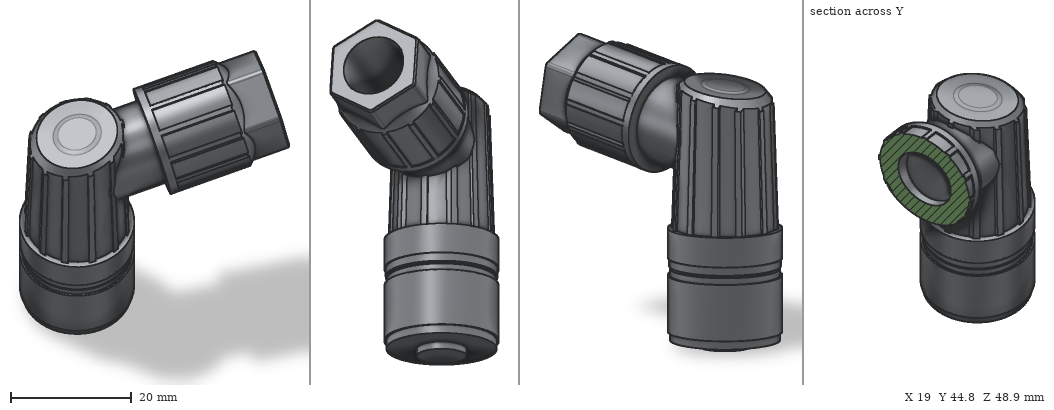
import cadquery as cq
import math

main_diameter = 19.0
ring_step_diameter = 18.3
collar_step_diameter = 18.55
neck_diameter = 16.5
insert_diameter = 8.2

insert_bottom = 0.0
ring_bottom = 1.2
ring_lower_step_top = 2.65
ring_shoulder = 12.1
ring_top = 13.2
collar_bottom = 13.7
collar_step_top = 15.05
collar_top = 20.05

grip_draft = 2.0
grip_rib_radius = 8.85
grip_panel_radius = 8.45
grip_rib_half_width = 0.55
grip_quadrant_angles = (0, 30, 56.5)
grip_loft_top = 46.92

tilt_angle = 10.0
cap_height = 43.85
cap_flat_radius = 6.8
cap_cone_depth = 29.35
button_base_radius = 4.05
button_top_radius = 3.25
button_rise = 0.2

branch_height = 34.55
tube_radius = 7.2
gland_start = 13.2
gland_collar_end = 14.65
gland_shoulder = 27.2
gland_end = 34.4
gland_radius = 9.25
gland_panel_radius = 9.0
gland_rib_half_width = 0.45
gland_quadrant_angles = (0, 30, 60)
gland_chamfer = 2.05
hex_across_flats = 15.0
hex_corner_fillet = 0.9
hex_end_chamfer = 0.3
cable_bore_diameter = 10.45

tilt_sin = math.sin(math.radians(tilt_angle))
tilt_cos = math.cos(math.radians(tilt_angle))

cap_normal = cq.Vector(0, -tilt_sin, tilt_cos)
branch_axis = cq.Vector(0, tilt_cos, tilt_sin)
cap_center = cq.Vector(0, 0, cap_height)


def cylinder_between(diameter, bottom, top):
    """Upright cylinder between two heights."""
    return cq.Workplane("XY").workplane(offset=bottom).circle(diameter / 2).extrude(top - bottom)


def branch_workplane(distance):
    """Workplane square to the branch axis, with its local X pointing up."""
    origin = cq.Vector(0, 0, branch_height) + branch_axis * distance
    return cq.Workplane(cq.Plane(origin=origin, xDir=cap_normal, normal=branch_axis))


def polar(radius, angle):
    return radius * math.cos(math.radians(angle)), radius * math.sin(math.radians(angle))


def full_turn(quadrant_angles):
    """Rib angles around the circle, mirrored about both axes, with a rib on each axis."""
    half_turn = [*quadrant_angles, 90, *(180 - angle for angle in reversed(quadrant_angles[1:]))]
    return half_turn + [angle + 180 for angle in half_turn]


def flank_foot(rib_corner, panel_radius, flank_along_y):
    """Point on the panel circle straight below a rib corner."""
    x, y = rib_corner
    if flank_along_y:
        return x, math.copysign(math.sqrt(panel_radius**2 - x**2), y)
    return math.copysign(math.sqrt(panel_radius**2 - y**2), x), y


def ribbed_outline(workplane, quadrant_angles, rib_radius, panel_radius, rib_half_width):
    """Closed outline of low ribs; flanks run along X, except on the two Y-axis ribs."""
    half_angle = math.degrees(math.asin(rib_half_width / rib_radius))
    ribs = []
    for angle in full_turn(quadrant_angles):
        on_y_axis = angle % 180 == 90
        first_corner = polar(rib_radius, angle - half_angle)
        last_corner = polar(rib_radius, angle + half_angle)
        first_foot = flank_foot(first_corner, panel_radius, on_y_axis)
        last_foot = flank_foot(last_corner, panel_radius, on_y_axis)
        ribs.append((angle, first_foot, first_corner, last_corner, last_foot))

    outline = workplane.moveTo(*ribs[0][1])
    for index, (angle, _, first_corner, last_corner, last_foot) in enumerate(ribs):
        next_angle, next_foot = ribs[(index + 1) % len(ribs)][:2]
        panel_angle = angle + (next_angle - angle) % 360 / 2
        outline = outline.lineTo(*first_corner)
        outline = outline.threePointArc(polar(rib_radius, angle), last_corner)
        outline = outline.lineTo(*last_foot)
        outline = outline.threePointArc(polar(panel_radius, panel_angle), next_foot)
    return outline.close()


def coupling_ring():
    ring = cylinder_between(ring_step_diameter, ring_bottom, ring_top)
    ring = ring.union(cylinder_between(main_diameter, ring_lower_step_top, ring_shoulder))
    return ring.cut(cylinder_between(insert_diameter, ring_bottom, ring_top))


def grip_section(height):
    """Wire of the grip at a height, shrunk evenly by the draft."""
    shrink = (height - collar_top) * math.tan(math.radians(grip_draft))
    scale = 1 - shrink / grip_rib_radius
    outline = ribbed_outline(
        cq.Workplane("XY").workplane(offset=height),
        grip_quadrant_angles,
        grip_rib_radius * scale,
        grip_panel_radius * scale,
        grip_rib_half_width * scale,
    )
    return outline.val()


def grip():
    """Ribbed taper under a sloping bevelled cap with a low round button."""
    taper = cq.Solid.makeLoft([grip_section(collar_top), grip_section(grip_loft_top)], True)
    cap_cone = cq.Solid.makeCone(
        cap_flat_radius + cap_cone_depth,
        cap_flat_radius,
        cap_cone_depth,
        pnt=cap_center - cap_normal * cap_cone_depth,
        dir=cap_normal,
    )
    button = cq.Solid.makeCone(
        button_base_radius, button_top_radius, button_rise, pnt=cap_center, dir=cap_normal
    )
    return cq.Workplane(taper).intersect(cq.Workplane(cap_cone)).union(cq.Workplane(button))


def gland_barrel():
    """Plain collar, then a ribbed stretch with a bevelled shoulder."""
    barrel_end = gland_shoulder + gland_chamfer
    envelope = branch_workplane(gland_start).circle(gland_radius).extrude(barrel_end - gland_start)
    envelope = envelope.faces(cq.selectors.DirectionMinMaxSelector(branch_axis)).chamfer(gland_chamfer)
    collar = branch_workplane(gland_start).circle(gland_radius).extrude(gland_collar_end - gland_start)
    ribbed = ribbed_outline(
        branch_workplane(gland_collar_end),
        gland_quadrant_angles,
        gland_radius,
        gland_panel_radius,
        gland_rib_half_width,
    ).extrude(barrel_end - gland_collar_end)
    return collar.union(ribbed.intersect(envelope))


def gland_hexagon():
    """Wrench hexagon with one corner pointing up."""
    across_corners = hex_across_flats / math.cos(math.radians(30))
    hexagon = branch_workplane(gland_start).polygon(6, across_corners).extrude(gland_end - gland_start)
    hexagon = hexagon.edges(cq.selectors.ParallelDirSelector(branch_axis)).fillet(hex_corner_fillet)
    return hexagon.faces(cq.selectors.DirectionMinMaxSelector(branch_axis)).chamfer(hex_end_chamfer)


def gland():
    bore = branch_workplane(gland_start).circle(cable_bore_diameter / 2).extrude(gland_end - gland_start)
    return gland_barrel().union(gland_hexagon()).cut(bore)


def housing():
    body = cylinder_between(insert_diameter, insert_bottom, ring_top)
    body = body.union(cylinder_between(neck_diameter, ring_top, collar_bottom))
    body = body.union(cylinder_between(collar_step_diameter, collar_bottom, collar_step_top))
    body = body.union(cylinder_between(main_diameter, collar_step_top, collar_top))
    tube = branch_workplane(0).circle(tube_radius).extrude(gland_start)
    return body.union(grip()).union(tube).union(gland())


result = cq.Compound.makeCompound([housing().val(), coupling_ring().val()])